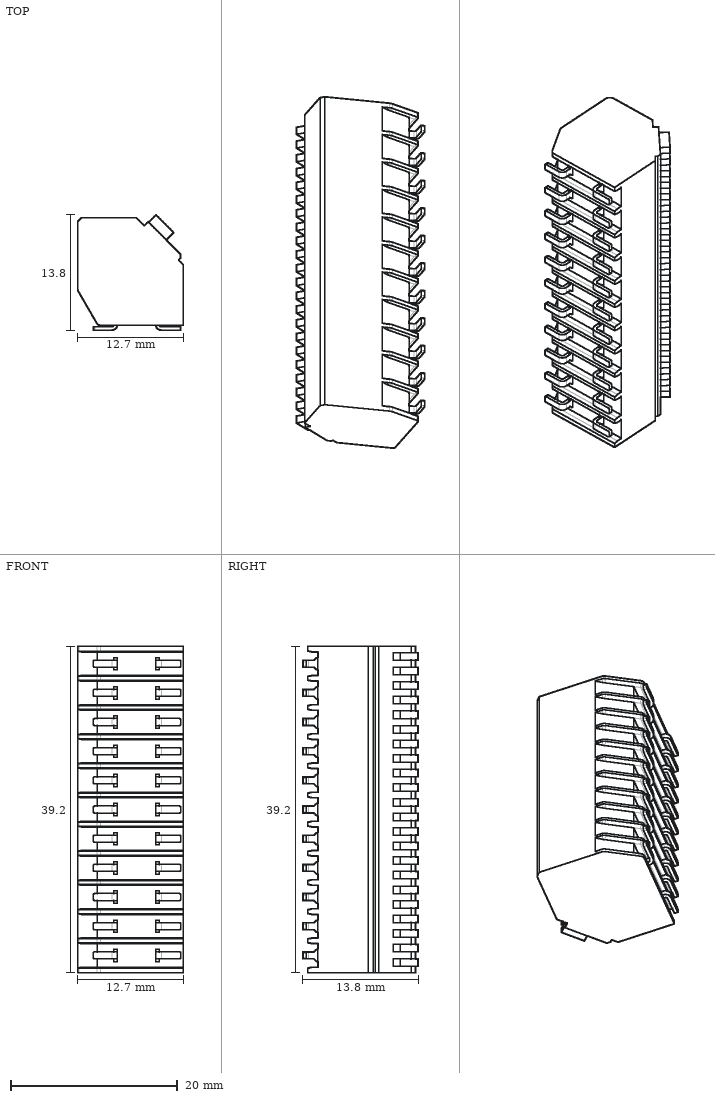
import cadquery as cq
import math


length = 39.2
width = 12.7
depth = 12.95
slope_angle = 60
slope_foot = 2.45
slope_foot_radius = 0.55
slope_top_radius = 0.85
back_chamfer = 0.47
corner_start = 7.0

strip_start = 8.0
strip_height = 0.65
strip_right = 12.35
strip_undercut = 0.25

pole_count = 11
plate_thickness = 0.7
recess_depth = 1.2
recess_top = 5.3
taper_depth = 0.5
taper_side = 0.1

buttons_per_pole = 2
button_start = 0.08
button_length = 3.0
button_height = 1.25
button_width = 0.9

pin_thickness = 0.45
pin_width = 0.85
pin_reach = 0.6
inner_bend = 0.25
pin_root = 0.4
tip_radius = 0.2
shoulder_width = 1.5
shoulder_front = 1.05
left_tip = 1.9
left_leg = 4.8
right_tip = 12.4
right_leg = 9.35

pitch = (length - plate_thickness) / pole_count
slope_rise = math.tan(math.radians(slope_angle))
slope_top = slope_foot * slope_rise
corner_sum = corner_start + depth
strip_rise = strip_height * math.sqrt(0.5)
strip_sum = corner_sum + 2 * strip_rise
strip_left = strip_start + strip_rise


def prism(points, height):
    """Upright prism standing on Z = 0."""
    return cq.Workplane("XY").polyline(points).close().extrude(height)


def round_slope(solid, height):
    """Round both ends of the front left slope of an upright prism."""
    foot = cq.NearestToPointSelector((slope_foot, 0, height / 2))
    top = cq.NearestToPointSelector((0, slope_top, height / 2))
    return solid.edges(foot).fillet(slope_foot_radius).edges(top).fillet(slope_top_radius)


def housing_block():
    """Solid block with the full outline of the housing."""
    undercut_x = strip_right - strip_undercut
    undercut_y = corner_sum - undercut_x
    outline = [
        (slope_foot, 0),
        (width, 0),
        (width, corner_sum - width),
        (undercut_x, undercut_y),
        (strip_right, undercut_y + strip_undercut),
        (strip_right, strip_sum - strip_right),
        (strip_left, strip_sum - strip_left),
        (strip_start, corner_sum - strip_start),
        (corner_start, depth),
        (back_chamfer, depth),
        (0, depth - back_chamfer),
        (0, slope_top),
    ]
    return round_slope(prism(outline, length), length)


def recess_cutter():
    """Space in front of the recessed faces, between the square outer halves of the end plates."""
    outline = [
        (0, 0),
        (width, 0),
        (width, recess_depth),
        ((recess_top - recess_depth) / slope_rise, recess_depth),
        (0, recess_top),
    ]
    return prism(outline, length - plate_thickness).translate((0, 0, plate_thickness / 2))


def plate():
    """Partition plate centred on Z = 0, thinning towards its front and left edges.

    It overruns the housing on the right, where its edge is trimmed square.
    """
    right = width + taper_depth
    back = recess_top + 2 * taper_depth
    outline = [(slope_foot, 0), (right, 0), (right, back), (0, back), (0, slope_top)]
    edge_thickness = plate_thickness - 2 * taper_side
    middle = round_slope(prism(outline, edge_thickness), edge_thickness)
    middle = middle.translate((0, 0, -edge_thickness / 2))
    taper = math.degrees(math.atan2(taper_depth, taper_side))
    upper_rim = middle.faces(">Z").wires().toPending().workplane()
    upper_flank = upper_rim.extrude(taper_side, taper=taper, combine=False)
    return middle.union(upper_flank).union(upper_flank.mirror("XY"))


def pin(tip, leg):
    """Bent pin centred on Z = 0: a foot along X and a shouldered leg into the housing."""
    side = math.copysign(1, leg - tip)
    outer_bend = inner_bend + pin_thickness
    inner_leg = leg - side * pin_thickness
    foot_back = pin_thickness - pin_reach
    root = recess_depth + pin_root
    bend_center = cq.Vector(leg - side * outer_bend, outer_bend - pin_reach)
    mid_bend = cq.Vector(side, -1).normalized()
    profile = (
        cq.Workplane("XY")
        .moveTo(tip, -pin_reach)
        .lineTo(bend_center.x, -pin_reach)
        .threePointArc((bend_center + mid_bend * outer_bend).toTuple()[:2], (leg, bend_center.y))
        .lineTo(leg, root)
        .lineTo(inner_leg, root)
        .lineTo(inner_leg, bend_center.y)
        .threePointArc((bend_center + mid_bend * inner_bend).toTuple()[:2], (bend_center.x, foot_back))
        .lineTo(tip, foot_back)
        .close()
    )
    strip = profile.extrude(pin_width / 2, both=True)
    tip_face = cq.NearestToPointSelector((tip, foot_back - pin_thickness / 2, 0))
    strip = strip.faces(tip_face).edges("|Y").fillet(tip_radius)

    half_pin = pin_width / 2
    half_shoulder = shoulder_width / 2
    neck = shoulder_front - (half_shoulder - half_pin)
    outline = [
        (neck, -half_pin),
        (shoulder_front, -half_shoulder),
        (root, -half_shoulder),
        (root, half_shoulder),
        (shoulder_front, half_shoulder),
        (neck, half_pin),
    ]
    leg_plane = cq.Workplane("YZ", origin=(leg, 0, 0))
    shoulders = leg_plane.polyline(outline).close().extrude(-side * pin_thickness)
    return strip.union(shoulders)


def button():
    """Push button centred on Z = 0, its root sunk as deep as the strip is high."""
    height = button_height + strip_height
    block = cq.Workplane("XY").box(button_length, height, button_width, centered=(False, False, True))
    block = block.translate((button_start, -strip_height, 0)).rotate((0, 0, 0), (0, 0, 1), -45)
    return block.translate((strip_left, strip_sum - strip_left, 0))


def stack(part, heights):
    """Copies of a part at the given heights."""
    return cq.Workplane("XY").pushPoints([(0, 0, z) for z in heights]).eachpoint(part)


button_pitch = pitch / buttons_per_pole
first_plate = plate_thickness / 2
plate_heights = [first_plate + i * pitch for i in range(pole_count + 1)]
pole_heights = [first_plate + (i + 0.5) * pitch for i in range(pole_count)]
button_heights = [first_plate + (i + 0.5) * button_pitch for i in range(pole_count * buttons_per_pole)]

block = housing_block()
plates = stack(plate(), plate_heights).intersect(block)
result = (
    block.cut(recess_cutter())
    .union(plates)
    .union(stack(pin(left_tip, left_leg), pole_heights))
    .union(stack(pin(right_tip, right_leg), pole_heights))
    .union(stack(button(), button_heights))
)